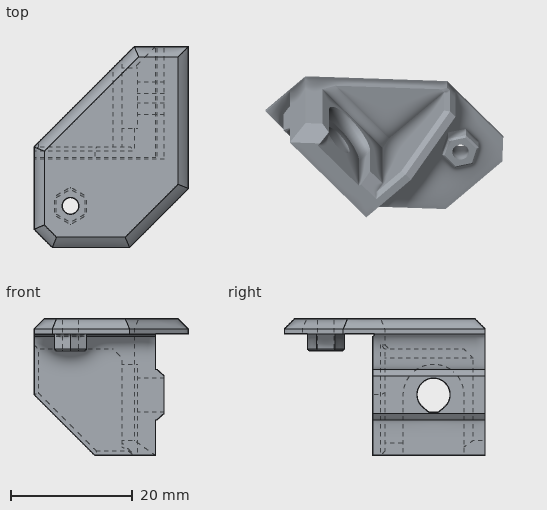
import cadquery as cq
import math


plate_width = 25.4
plate_length = 33.05
plate_thickness = 2.5
plate_bevel = 1.7
front_left_cut = 3.0
front_right_cut = 9.7
back_left_cut = 16.5
total_height = 22.5
plate_bottom = total_height - plate_thickness

body_width = 20.0
wall_front = 14.55
wall_thickness = 2.0
wall_back = wall_front + wall_thickness
body_bevel = 10.0
diagonal_foot_bevel = 2.46
relief_depth = 0.23

pocket_end = 14.5
pocket_ceiling = 17.5
ceiling_bevel = 1.5
foot_bevel = 2.05
lip_bevel = 0.7
lip_front = wall_back - lip_bevel

screw_y = wall_front + body_width / 2
screw_z = body_width / 2
seat_radius = 5.0
seat_depth = 2.5
hole_radius = 2.7
hole_flat_depth = 2.86
hole_flank_angle = math.radians(40)
rail_height = 1.4
rail_base_straight = 0.2
rail_base_width = 8.35
rail_tip_width = 6.2

stud_x = 6.0
stud_y = 6.85
stud_across_flats = 5.3
stud_height = 2.8
stud_bevel = 0.3
stud_hole_diameter = 2.7

clearance = 5.0
far = 2 * plate_length


def extrude_along_y(points, y_start, y_end):
    """Prism with an XZ outline, running from y_start to y_end."""
    plane = cq.Workplane("XZ", origin=(0, y_start, 0))
    return plane.polyline(points).close().extrude(y_start - y_end)


def make_plate():
    outline = [
        (front_left_cut, 0),
        (plate_width - front_right_cut, 0),
        (plate_width, front_right_cut),
        (plate_width, plate_length),
        (back_left_cut, plate_length),
        (0, plate_length - back_left_cut),
        (0, front_left_cut),
    ]
    plate = cq.Workplane("XY", origin=(0, 0, plate_bottom)).polyline(outline).close()
    return plate.extrude(plate_thickness).faces(">Z").chamfer(plate_bevel)


def make_body():
    footprint = [
        (0, wall_front),
        (body_width, wall_front),
        (body_width, plate_length),
        (back_left_cut, plate_length),
        (0, plate_length - back_left_cut),
    ]
    body = cq.Workplane("XY").polyline(footprint).close().extrude(plate_bottom)
    corner = [(0, 0), (body_bevel, 0), (0, body_bevel)]
    return body.cut(extrude_along_y(corner, 0, plate_length))


def make_rail():
    """Key along the whole +X side, with bevelled flanks."""
    base = body_width
    shoulder = base + rail_base_straight
    tip = base + rail_height
    profile = [
        (base, screw_z - rail_base_width / 2),
        (shoulder, screw_z - rail_base_width / 2),
        (tip, screw_z - rail_tip_width / 2),
        (tip, screw_z + rail_tip_width / 2),
        (shoulder, screw_z + rail_base_width / 2),
        (base, screw_z + rail_base_width / 2),
    ]
    return extrude_along_y(profile, wall_front, plate_length)


def make_pocket():
    """Space behind the front wall; the wall's inner edges keep a 45 degree lip."""
    profile = [
        (-clearance, -clearance),
        (pocket_end, -clearance),
        (pocket_end, pocket_ceiling - ceiling_bevel),
        (pocket_end - ceiling_bevel, pocket_ceiling),
        (lip_bevel, pocket_ceiling),
        (0, pocket_ceiling + lip_bevel),
        (-clearance, pocket_ceiling + lip_bevel),
    ]
    pocket = extrude_along_y(profile, lip_front, plate_length + clearance)
    foot = [(pocket_end, 0), (pocket_end + foot_bevel, 0), (pocket_end, foot_bevel)]
    pocket = pocket.union(extrude_along_y(foot, lip_front, screw_y))
    wall_edge = [(0, body_bevel), (body_bevel, 0), (far, 0), (far, far), (0, far)]
    tapered_wall = (
        cq.Workplane("XZ", origin=(0, lip_front, 0))
        .polyline(wall_edge)
        .close()
        .extrude(-lip_bevel, taper=45)
    )
    return pocket.cut(tapered_wall)


def make_diagonal_foot_cut():
    """Undercut along the bottom edge of the diagonal face."""
    plane = cq.Plane(
        origin=(back_left_cut, plate_length, 0), xDir=(1, -1, 0), normal=(-1, -1, 0)
    )
    triangle = [(0, 0), (diagonal_foot_bevel, 0), (0, diagonal_foot_bevel)]
    length = back_left_cut * math.sqrt(2)
    return cq.Workplane(plane).polyline(triangle).close().extrude(length, both=True)


def make_screw_seat():
    """Round-topped recess, open at the bottom."""
    start = cq.Workplane("YZ", origin=(pocket_end - clearance, screw_y, 0))
    return (
        start.moveTo(-seat_radius, -clearance)
        .lineTo(seat_radius, -clearance)
        .lineTo(seat_radius, screw_z)
        .threePointArc((0, screw_z + seat_radius), (-seat_radius, screw_z))
        .close()
        .extrude(clearance + seat_depth)
    )


def make_screw_hole():
    """Round hole whose lower side runs along tangents to a narrow flat."""
    tangent_y = hole_radius * math.sin(hole_flank_angle)
    tangent_z = -hole_radius * math.cos(hole_flank_angle)
    flat_rise = hole_flat_depth * math.cos(hole_flank_angle)
    flat_half = (hole_radius - flat_rise) / math.sin(hole_flank_angle)
    start = cq.Workplane("YZ", origin=(pocket_end, screw_y, screw_z))
    return (
        start.moveTo(-flat_half, -hole_flat_depth)
        .lineTo(flat_half, -hole_flat_depth)
        .lineTo(tangent_y, tangent_z)
        .threePointArc((0, hole_radius), (-tangent_y, tangent_z))
        .close()
        .extrude(plate_width - pocket_end)
    )


def make_relief():
    """Shallow groove in the front wall where it meets the plate."""
    plane = cq.Workplane("YZ", origin=(0, wall_front, plate_bottom))
    outline = [
        (0, 0),
        (relief_depth, 0),
        (relief_depth, -relief_depth),
        (0, -2 * relief_depth),
    ]
    return plane.polyline(outline).close().extrude(body_width)


def make_stud():
    across_corners = stud_across_flats / math.cos(math.pi / 6)
    stud = (
        cq.Workplane("XY")
        .polygon(6, across_corners)
        .extrude(-stud_height)
        .faces("<Z")
        .chamfer(stud_bevel)
        .rotate((0, 0, 0), (0, 0, 1), 30)
    )
    return stud.translate((stud_x, stud_y, plate_bottom))


def make_stud_hole():
    start = cq.Workplane("XY", origin=(stud_x, stud_y, plate_bottom - stud_height))
    return start.circle(stud_hole_diameter / 2).extrude(stud_height + plate_thickness)


result = (
    make_body()
    .union(make_rail())
    .cut(make_pocket())
    .cut(make_diagonal_foot_cut())
    .cut(make_screw_seat())
    .cut(make_screw_hole())
    .cut(make_relief())
    .union(make_plate())
    .union(make_stud())
    .cut(make_stud_hole())
    .clean()
)